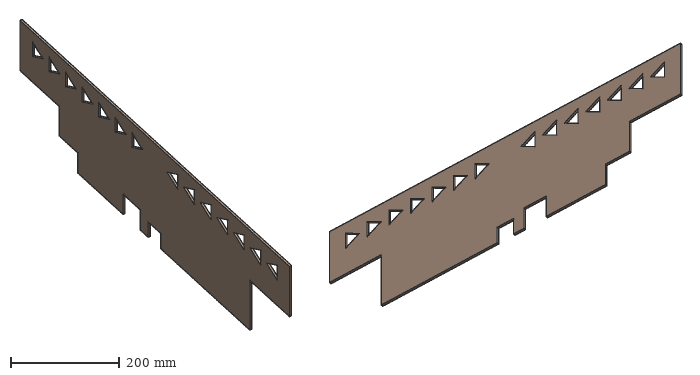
import cadquery as cq
import math

length = 825.5
thickness = 4.8
height = 254.0
left = -length / 2
right = length / 2
top = height / 2
bottom = -height / 2

band_height = 128.0
body_left = left + 120.0
body_right = left + 704.0

wide_notch_depth = 51.0
corner_notch_width = 57.0
wide_notch_left = left + 316.0
wide_notch_width = 52.0
narrow_notch_left = left + 393.0
narrow_notch_width = 38.0
narrow_notch_depth = 39.0

windows_per_row = 7
window_side = 37.0
window_length = window_side * math.sqrt(3) / 2
window_inset = 38.0
window_row_span = 305.0
window_pitch = window_row_span / (windows_per_row - 1)
window_row_z = top - 44.5


def box_between(x_min, x_max, z_min, z_max):
    """Block spanning the plate thickness between the given X and Z limits."""
    return cq.Workplane("XY").box(
        x_max - x_min, thickness, z_max - z_min
    ).translate(((x_min + x_max) / 2, 0, (z_min + z_max) / 2))


def bottom_notch(x_min, width, depth):
    """Cutter for a rectangular notch rising from the lower edge."""
    return box_between(x_min, x_min + width, bottom, bottom + depth)


def triangular_window(base_x, direction):
    """Cutter with a vertical base at base_x and its tip towards direction (+1 or -1)."""
    return (
        cq.Workplane("XZ")
        .polyline([
            (base_x, window_row_z - window_side / 2),
            (base_x, window_row_z + window_side / 2),
            (base_x + direction * window_length, window_row_z),
        ])
        .close()
        .extrude(thickness, both=True)
    )


band = box_between(left, right, top - band_height, top)
body = box_between(body_left, body_right, bottom, top)
result = band.union(body)

result = result.cut(bottom_notch(body_left, corner_notch_width, wide_notch_depth))
result = result.cut(bottom_notch(wide_notch_left, wide_notch_width, wide_notch_depth))
result = result.cut(bottom_notch(narrow_notch_left, narrow_notch_width, narrow_notch_depth))

for index in range(windows_per_row):
    offset = window_inset + index * window_pitch
    result = result.cut(triangular_window(left + offset, 1))
    result = result.cut(triangular_window(right - offset, -1))